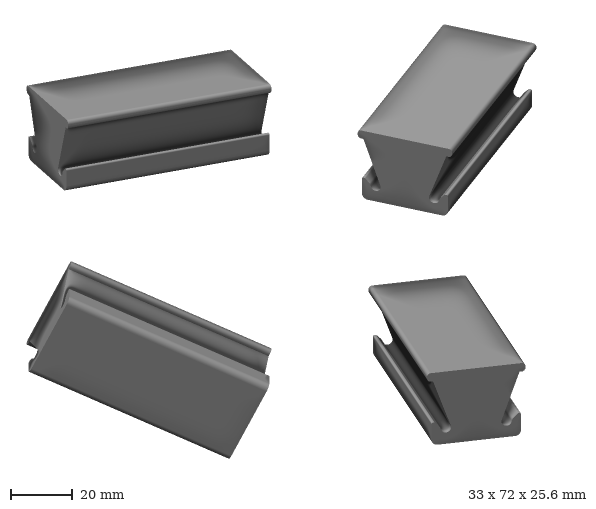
import cadquery as cq
import math

length = 72.0
width = 33.0
height = 25.6

flange_thickness = 3.0
flange_edge_radius = 1.25

base_width = 30.0
base_corner_radius = 2.0
lip_top_z = 8.0
lip_tip_radius = 0.5
lip_flat_width = 0.3
lip_lead_in_angle = 45.0
lip_inner_radius = 1.5

slot_radius = 1.7
slot_flat_width = 0.1
slot_center_x = 10.2
slot_floor_z = 4.0
flank_tilt_angle = 20.0


def polar(center, radius, degrees):
    """Point at a distance and angle from a centre, measured from +X towards +Z."""
    angle = math.radians(degrees)
    return (center[0] + radius * math.cos(angle), center[1] + radius * math.sin(angle))


def arc_to(outline, center, radius, start_degrees, end_degrees):
    """Continue an outline with an arc that begins at its current point."""
    middle = polar(center, radius, (start_degrees + end_degrees) / 2)
    end = polar(center, radius, end_degrees)
    return outline.threePointArc(middle, end)


def line_and_arc(outline, center, radius, start_degrees, end_degrees):
    """Continue an outline with a straight line to the start of an arc, then the arc."""
    outline = outline.lineTo(*polar(center, radius, start_degrees))
    return arc_to(outline, center, radius, start_degrees, end_degrees)


def inner_lip_center(inner_tip, outer_slot):
    """Centre of the lip arc that is tangent to the lead-in slope and to the outer slot arc."""
    track_start = polar(inner_tip, lip_tip_radius - lip_inner_radius, 90 + lip_lead_in_angle)
    slope = math.radians(lip_lead_in_angle)
    offset_x = track_start[0] - outer_slot[0]
    offset_z = track_start[1] - outer_slot[1]
    along = offset_x * math.cos(slope) + offset_z * math.sin(slope)
    across = offset_z * math.cos(slope) - offset_x * math.sin(slope)
    travel = along - math.sqrt((slot_radius + lip_inner_radius) ** 2 - across**2)
    return polar(track_start, -travel, lip_lead_in_angle)


def right_half_profile():
    """Right half of the cross-section in X and Z, closed along the centre plane."""
    half_base = base_width / 2
    underside_z = height - flange_thickness
    lead_in_normal = 90 + lip_lead_in_angle

    base_corner = (half_base - base_corner_radius, base_corner_radius)
    outer_tip = (half_base - lip_tip_radius, lip_top_z - lip_tip_radius)
    inner_tip = (outer_tip[0] - lip_flat_width, outer_tip[1])
    slot_center_z = slot_floor_z + slot_radius
    outer_slot = (slot_center_x + slot_flat_width / 2, slot_center_z)
    inner_slot = (slot_center_x - slot_flat_width / 2, slot_center_z)
    inner_lip = inner_lip_center(inner_tip, outer_slot)
    flange_edge_x = width / 2 - flange_edge_radius
    lower_edge = (flange_edge_x, underside_z + flange_edge_radius)
    upper_edge = (flange_edge_x, height - flange_edge_radius)

    contact = math.degrees(math.atan2(inner_lip[1] - outer_slot[1], inner_lip[0] - outer_slot[0]))

    flank_normal = 180 - flank_tilt_angle
    flank_start = polar(inner_slot, slot_radius, flank_normal)
    flank_run = (underside_z - flank_start[1]) * math.tan(math.radians(flank_tilt_angle))

    outline = cq.Workplane("XZ").moveTo(0, 0)
    outline = line_and_arc(outline, base_corner, base_corner_radius, -90, 0)
    outline = line_and_arc(outline, outer_tip, lip_tip_radius, 0, 90)
    outline = line_and_arc(outline, inner_tip, lip_tip_radius, 90, lead_in_normal)
    outline = line_and_arc(outline, inner_lip, lip_inner_radius, lead_in_normal, 180 + contact)
    outline = arc_to(outline, outer_slot, slot_radius, contact, -90)
    outline = line_and_arc(outline, inner_slot, slot_radius, -90, flank_normal - 360)
    outline = outline.lineTo(flank_start[0] + flank_run, underside_z)
    outline = line_and_arc(outline, lower_edge, flange_edge_radius, -90, 0)
    outline = line_and_arc(outline, upper_edge, flange_edge_radius, 0, 90)
    return outline.lineTo(0, height).close()


right_half = right_half_profile().extrude(length / 2, both=True)
left_half = right_half.mirror("YZ")
result = right_half.union(left_half, clean=True)